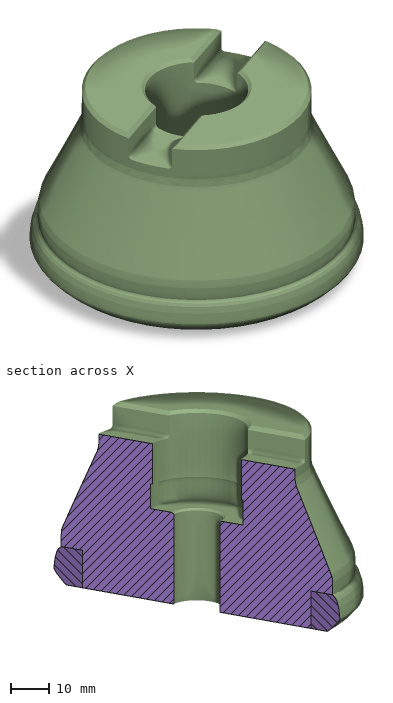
import cadquery as cq

height = 50.0
rim_radius = 43.7

neck_radius = 60.0 / 2
band_radius = 82.95 / 2
cone_top = 39.1
cone_bottom = 14.85
blend_radius = 5.0
top_chamfer = 1.0

bore_radius = 27.0 / 2
bore_chamfer = 0.9
relief_radius = 28.0 / 2
relief_top = 31.7
bore_floor = 25.1
hole_radius = 14.0 / 2
hole_chamfer = 0.5

slot_width = 12.4
slot_depth = 7.2
slot_corner_radius = 1.05
slot_chamfer = 1.05

ring_height = 10.2
ring_inner_radius = 34.9

ring_outer_profile = [
    (39.7, 0.0),
    (40.7, 0.7),
    (41.9, 1.8),
    (43.1, 3.1),
    (43.4, 3.5),
    (rim_radius, 4.0),
    (rim_radius, 4.45),
    (43.6, 5.2),
    (43.3, 7.1),
    (42.8, 8.8),
    (42.3, 9.6),
    (band_radius, ring_height),
]


def revolve_profile(points):
    """Solid of revolution about Z from a closed outline of (radius, Z) points."""
    return cq.Workplane("XZ").polyline(points).close().revolve(360, (0, 0, 0), (0, 1, 0))


def circles_at(radius, level):
    """Selector for circular edges around Z at one level, up to the given radius."""
    margin = 0.1
    reach = radius + margin
    return cq.selectors.BoxSelector(
        (-reach, -reach, level - margin),
        (reach, reach, level + margin),
        boundingbox=True,
    )


def make_holder_blank():
    """Outside of the holder, with a chamfered top and both ends of the cone blended."""
    blank = revolve_profile([
        (0, 0),
        (ring_inner_radius, 0),
        (ring_inner_radius, ring_height),
        (band_radius, ring_height),
        (band_radius, cone_bottom),
        (neck_radius, cone_top),
        (neck_radius, height),
        (0, height),
    ])
    blank = blank.faces(">Z").edges().chamfer(top_chamfer)
    blank = blank.edges(circles_at(neck_radius, cone_top)).fillet(blend_radius)
    return blank.edges(circles_at(band_radius, cone_bottom)).fillet(blend_radius)


def make_bore_cutter():
    """Stepped bore with chamfered mouths."""
    return revolve_profile([
        (0, 0),
        (hole_radius, 0),
        (hole_radius, bore_floor - hole_chamfer),
        (hole_radius + hole_chamfer, bore_floor),
        (relief_radius, bore_floor),
        (relief_radius, relief_top),
        (bore_radius, relief_top),
        (bore_radius, height - bore_chamfer),
        (bore_radius + bore_chamfer, height),
        (0, height),
    ])


def make_slot_cutter():
    """Slot with rounded bottom corners and chamfered top edges."""
    half_width = slot_width / 2
    slot = (
        cq.Workplane("XZ")
        .rect(slot_width, 2 * slot_depth)
        .extrude(band_radius, both=True)
        .translate((0, 0, height))
        .edges("|Y and <Z")
        .fillet(slot_corner_radius)
    )
    flare = (
        cq.Workplane("XZ")
        .polyline([
            (-half_width, height - slot_chamfer),
            (half_width, height - slot_chamfer),
            (half_width + slot_chamfer, height),
            (-half_width - slot_chamfer, height),
        ])
        .close()
        .extrude(band_radius, both=True)
    )
    return slot.union(flare)


def make_holder():
    return make_holder_blank().cut(make_bore_cutter()).cut(make_slot_cutter())


def make_ring():
    """Bevelled ring that fits around the spigot of the holder, under its band."""
    return revolve_profile([
        (ring_inner_radius, 0),
        *ring_outer_profile,
        (ring_inner_radius, ring_height),
    ])


holder = make_holder()
ring = make_ring()

result = cq.Compound.makeCompound([holder.val(), ring.val()])